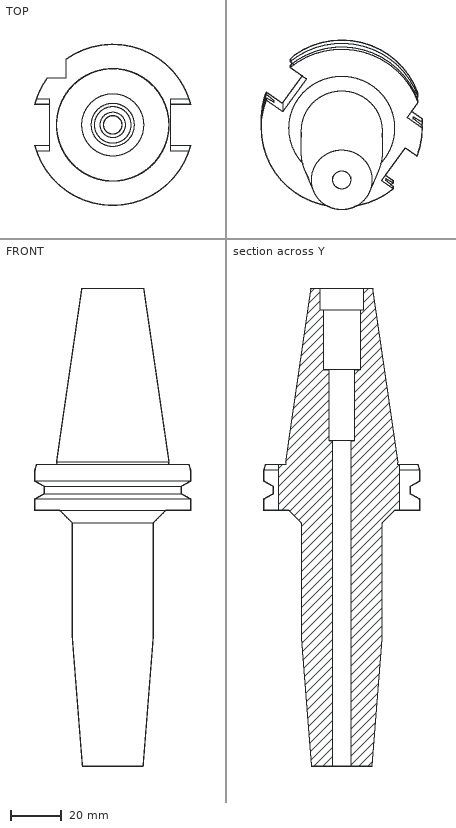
import cadquery as cq
import math


gauge_radius = 44.45 / 2
taper_length = 68.4
taper_ratio = 7 / 24
taper_end_radius = gauge_radius - taper_length * taper_ratio / 2
relief_radius = 44.0 / 2

flange_radius = 63.55 / 2
flange_top = -1.0
flange_bottom = -19.1
groove_center = -11.1
groove_floor_radius = 56.5 / 2
groove_mouth_width = 7.0
groove_wall_angle = 30
groove_wall_rise = (flange_radius - groove_floor_radius) * math.tan(math.radians(groove_wall_angle))
groove_floor_width = groove_mouth_width - 2 * groove_wall_rise

slot_width = 16.1
slot_chamfer = 2.2
left_slot_floor = 25.0
right_slot_floor = 22.8
notch_offset = 18.5

nose_bottom = -120.0
shank_radius = 32.0 / 2
nose_end_radius = 24.0 / 2
nose_angle = 4.5
nose_taper_length = (shank_radius - nose_end_radius) / math.tan(math.radians(nose_angle))
collar_radius = 41.8 / 2
collar_height = collar_radius - shank_radius

bore_steps = [(17.0 / 2, 8.5), (14.4 / 2, 32.0), (10.0 / 2, 60.0)]
through_radius = 7.2 / 2


def turned_body():
    """Solid of revolution: taper, grooved flange, collar cone and tapered nose."""
    profile = [
        (0, taper_length),
        (taper_end_radius, taper_length),
        (gauge_radius, 0),
        (relief_radius, flange_top),
        (flange_radius, flange_top),
        (flange_radius, groove_center + groove_mouth_width / 2),
        (groove_floor_radius, groove_center + groove_floor_width / 2),
        (groove_floor_radius, groove_center - groove_floor_width / 2),
        (flange_radius, groove_center - groove_mouth_width / 2),
        (flange_radius, flange_bottom),
        (collar_radius, flange_bottom),
        (shank_radius, flange_bottom - collar_height),
        (shank_radius, nose_bottom + nose_taper_length),
        (nose_end_radius, nose_bottom),
        (0, nose_bottom),
    ]
    return cq.Workplane("XZ").polyline(profile).close().revolve(360, (0, 0, 0), (0, 1, 0))


def drive_slot(side, floor):
    """Radial slot through the flange with chamfered top edges; side is -1 or +1 along X."""
    half_width = slot_width / 2
    section = [
        (-half_width, flange_bottom),
        (half_width, flange_bottom),
        (half_width, flange_top - slot_chamfer),
        (half_width + slot_chamfer, flange_top),
        (-half_width - slot_chamfer, flange_top),
        (-half_width, flange_top - slot_chamfer),
    ]
    return (
        cq.Workplane("YZ", origin=(side * floor, 0, 0))
        .polyline(section)
        .close()
        .extrude(side * (flange_radius - floor))
    )


def orientation_notch():
    """Square corner cut through the flange at -X, +Y."""
    size = flange_radius - notch_offset
    height = flange_top - flange_bottom
    return cq.Workplane("XY").box(size, size, height, centered=False).translate(
        (-flange_radius, notch_offset, flange_bottom)
    )


def stepped_bore():
    """Coaxial bore narrowing downwards from the taper end, open right through."""
    top_plane = cq.Workplane("XY", origin=(0, 0, taper_length))
    bore = top_plane.circle(through_radius).extrude(nose_bottom - taper_length)
    for radius, depth in bore_steps:
        bore = bore.union(top_plane.circle(radius).extrude(-depth))
    return bore


result = (
    turned_body()
    .cut(drive_slot(-1, left_slot_floor))
    .cut(drive_slot(1, right_slot_floor))
    .cut(orientation_notch())
    .cut(stepped_bore())
)